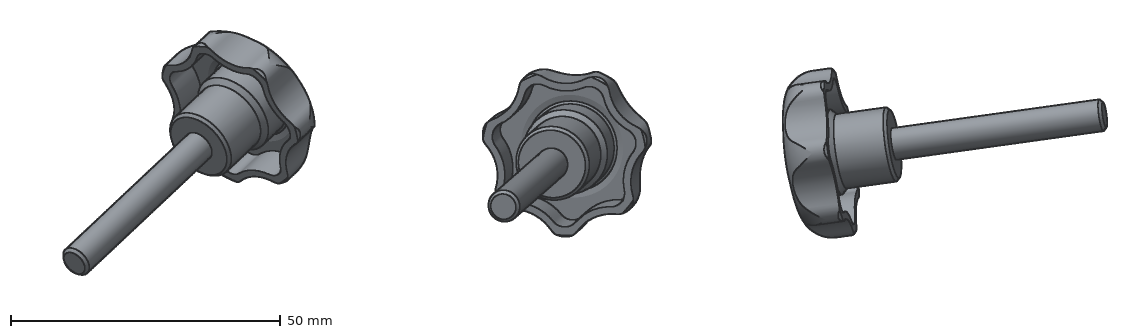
import cadquery as cq
import math


total_length = 60.0
head_height = 10.0
hub_length = 10.0
stud_length = total_length - head_height - hub_length

lobe_count = 7
tip_reach = 32.0 / 2
valley_radius = 8.5
valley_depth_reach = 13.25

dome_radius = 50.0
edge_radius = 6.0
rim_chamfer_width = 0.4
rim_chamfer_height = 0.6

cavity_valley_radius = 9.1
cavity_valley_reach = 11.8
cavity_tip_reach = 14.0
cavity_depth = 6.6
ceiling_radius = 9.7
recess_radius = 8.5
recess_rise = 0.25

hub_radius = 14.0 / 2
hub_base_radius = 16.0 / 2
hub_base_drop = 0.25
hub_chamfer = 0.6
stud_radius = 3.0
stud_chamfer = 0.6


def star_prism(scallop_radius, scallop_center, reach, height):
    """Prism from y = 0 to y = height with tangent scallop and lobe arcs; one lobe points to -Z."""
    half_pitch = math.pi / lobe_count
    axial = scallop_center * math.cos(half_pitch)
    lobe_radius = (
        (scallop_center**2 + reach**2 - 2 * axial * reach - scallop_radius**2)
        / (2 * (scallop_radius + reach - axial))
    )
    lobe_center = reach - lobe_radius
    share = lobe_radius / (lobe_radius + scallop_radius)
    along = lobe_center + share * (axial - lobe_center)
    across = share * scallop_center * math.sin(half_pitch)
    joint_radius = math.hypot(along, across)
    joint_angle = math.atan2(across, along)

    def polar(radius, angle):
        return radius * math.cos(angle), radius * math.sin(angle)

    first_lobe = -math.pi / 2
    outline = cq.Workplane("XZ").moveTo(*polar(joint_radius, first_lobe - joint_angle))
    for index in range(lobe_count):
        lobe = first_lobe + 2 * half_pitch * index
        valley = lobe + half_pitch
        next_lobe = valley + half_pitch
        outline = outline.threePointArc(
            polar(reach, lobe), polar(joint_radius, lobe + joint_angle)
        )
        outline = outline.threePointArc(
            polar(scallop_center - scallop_radius, valley),
            polar(joint_radius, next_lobe - joint_angle),
        )
    return outline.close().extrude(-height)


def turned(profile):
    """Revolve a half profile, drawn as radius and height, about the Y axis."""
    return profile.close().revolve(360, (0, 0, 0), (0, 1, 0))


def domed_blank():
    dome_center = head_height - dome_radius
    edge_center_r = tip_reach - edge_radius
    tangent_angle = math.asin(edge_center_r / (dome_radius - edge_radius))
    edge_center_y = dome_center + (dome_radius - edge_radius) * math.cos(tangent_angle)

    def dome_point(angle):
        return dome_radius * math.sin(angle), dome_center + dome_radius * math.cos(angle)

    edge_mid_angle = (tangent_angle + math.pi / 2) / 2
    edge_mid = (
        edge_center_r + edge_radius * math.sin(edge_mid_angle),
        edge_center_y + edge_radius * math.cos(edge_mid_angle),
    )
    return turned(
        cq.Workplane("XY")
        .lineTo(tip_reach - rim_chamfer_width, 0)
        .lineTo(tip_reach, rim_chamfer_height)
        .lineTo(tip_reach, edge_center_y)
        .threePointArc(edge_mid, dome_point(tangent_angle))
        .threePointArc(dome_point(tangent_angle / 2), (0, head_height))
    )


def ceiling_recess():
    recess_top = cavity_depth + recess_rise
    return turned(
        cq.Workplane("XY")
        .moveTo(0, cavity_depth)
        .lineTo(ceiling_radius, cavity_depth)
        .lineTo(recess_radius, recess_top)
        .lineTo(0, recess_top)
    )


def hub_and_stud():
    root = cavity_depth + recess_rise
    step = hub_base_radius - hub_radius
    stud_end = -hub_length - stud_length
    return turned(
        cq.Workplane("XY")
        .moveTo(0, root)
        .lineTo(recess_radius, root)
        .lineTo(hub_base_radius, root - hub_base_drop)
        .lineTo(hub_base_radius, step)
        .lineTo(hub_radius, 0)
        .lineTo(hub_radius, hub_chamfer - hub_length)
        .lineTo(hub_radius - hub_chamfer, -hub_length)
        .lineTo(stud_radius, -hub_length)
        .lineTo(stud_radius, stud_end + stud_chamfer)
        .lineTo(stud_radius - stud_chamfer, stud_end)
        .lineTo(0, stud_end)
    )


head = domed_blank().intersect(
    star_prism(valley_radius, valley_depth_reach + valley_radius, tip_reach, head_height)
)
cavity = star_prism(
    cavity_valley_radius,
    cavity_valley_reach + cavity_valley_radius,
    cavity_tip_reach,
    cavity_depth,
)
result = head.cut(cavity).cut(ceiling_recess()).union(hub_and_stud())